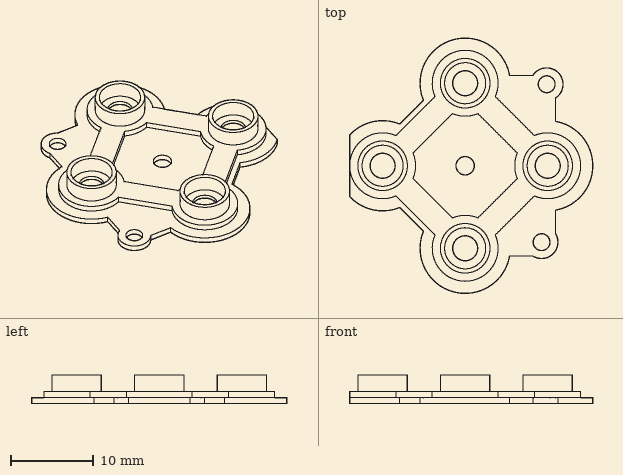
import cadquery as cq

base_thickness = 0.75
frame_thickness = 0.75
cup_height = 2.0

station_offset = 10.0
base_lobe_radius = 5.5
frame_lobe_radius = 4.0
cup_outer_diameter = 6.0
cup_inner_diameter = 5.0
cup_hole_diameter = 3.0
recess_diameter = 5.4
recess_depth = 1.0
stations = [
    (station_offset, 0),
    (0, station_offset),
    (-station_offset, 0),
    (0, -station_offset),
]

base_diamond_reach = 13.02
frame_outer_reach = 12.05
frame_inner_reach = 7.87

flat_x = -14.0
plate_edge = 10.97
centre_hole_diameter = 2.2

ear_diameter = 4.0
ear_hole_diameter = 2.0
upper_ear_offset = 9.9
lower_ear_offset = 9.27
ears = [
    (upper_ear_offset, upper_ear_offset),
    (lower_ear_offset, -lower_ear_offset),
]

frame_top = base_thickness + frame_thickness


def cylinders(points, diameter, bottom, height):
    """Upright cylinders of one size, standing on the given level."""
    return cq.Workplane("XY").workplane(offset=bottom).pushPoints(points).circle(diameter / 2).extrude(height)


def diamond(reach, bottom, height):
    """Square prism with its corners on the X and Y axes."""
    corners = [(reach, 0), (0, reach), (-reach, 0), (0, -reach)]
    return cq.Workplane("XY").workplane(offset=bottom).polyline(corners).close().extrude(height)


def make_base():
    """Lobed plate with a flat on the -X lobe and an ear on each +X corner."""
    plate = diamond(base_diamond_reach, 0, base_thickness)
    side_outline = [
        (0, plate_edge),
        (upper_ear_offset, plate_edge),
        (plate_edge, upper_ear_offset),
        (plate_edge, -lower_ear_offset),
        (lower_ear_offset, -plate_edge),
        (0, -plate_edge),
    ]
    side = cq.Workplane("XY").polyline(side_outline).close().extrude(base_thickness)
    plate = plate.union(side)
    plate = plate.union(cylinders(stations, 2 * base_lobe_radius, 0, base_thickness))
    plate = plate.union(cylinders(ears, ear_diameter, 0, base_thickness))

    beyond_flat = cq.Workplane("XY").box(
        station_offset, 4 * base_lobe_radius, base_thickness, centered=(False, True, False)
    )
    plate = plate.cut(beyond_flat.translate((flat_x - station_offset, 0, 0)))

    plate = plate.cut(cylinders(ears, ear_hole_diameter, 0, base_thickness))
    return plate.cut(cylinders([(0, 0)], centre_hole_diameter, 0, base_thickness))


def make_frame():
    """Raised diamond-shaped band joining a round pad at each station."""
    outer = diamond(frame_outer_reach, base_thickness, frame_thickness)
    inner = diamond(frame_inner_reach, base_thickness, frame_thickness)
    pads = cylinders(stations, 2 * frame_lobe_radius, base_thickness, frame_thickness)
    return outer.cut(inner).union(pads)


def add_cups(body):
    """Open-topped cups, each with a hole through its floor and a wider recess below."""
    body = body.union(cylinders(stations, cup_outer_diameter, frame_top, cup_height))
    body = body.cut(cylinders(stations, cup_inner_diameter, frame_top, cup_height))
    body = body.cut(cylinders(stations, cup_hole_diameter, 0, frame_top))
    return body.cut(cylinders(stations, recess_diameter, 0, recess_depth))


result = add_cups(make_base().union(make_frame()))